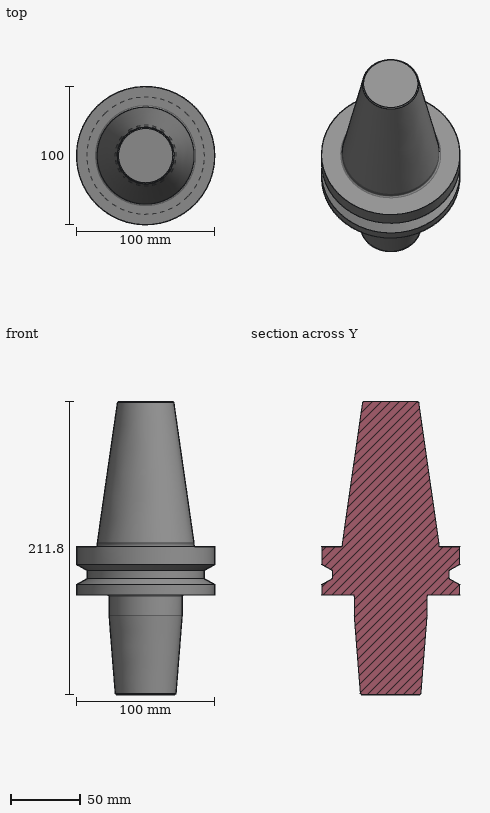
import cadquery as cq
import math

total_length = 211.8
nose_length = 110.0
gauge_gap = 3.0
flange_height = 35.0
flange_top = nose_length - gauge_gap
flange_bottom = flange_top - flange_height

flange_radius = 100.0 / 2
upper_rim_height = 13.0
lower_rim_height = 7.6
groove_radius = 42.4
groove_flank_height = 4.2
lower_rim_top = flange_bottom + lower_rim_height
upper_rim_bottom = flange_top - upper_rim_height

gauge_radius = 69.9 / 2
land_radius = 70.0 / 2
land_bevel_height = 0.6
land_fillet = 1.0
taper_tip_radius = 40.9 / 2
taper_tip_chamfer = 0.8

collar_radius = 53.0 / 2
collar_bottom = 57.5
collar_fillet = 1.0
nose_end_radius = 44.0 / 2
nose_chamfer = 1.0

ARC_MID_RATIO = 1 - math.sqrt(0.5)
collar_arc_mid = collar_fillet * ARC_MID_RATIO
land_arc_mid = land_fillet * ARC_MID_RATIO

profile = (
    cq.Workplane("XZ")
    .lineTo(nose_end_radius - nose_chamfer, 0)
    .lineTo(nose_end_radius, nose_chamfer)
    .lineTo(collar_radius, collar_bottom)
    .lineTo(collar_radius, flange_bottom - collar_fillet)
    .threePointArc(
        (collar_radius + collar_arc_mid, flange_bottom - collar_arc_mid),
        (collar_radius + collar_fillet, flange_bottom),
    )
    .lineTo(flange_radius, flange_bottom)
    .lineTo(flange_radius, lower_rim_top)
    .lineTo(groove_radius, lower_rim_top + groove_flank_height)
    .lineTo(groove_radius, upper_rim_bottom - groove_flank_height)
    .lineTo(flange_radius, upper_rim_bottom)
    .lineTo(flange_radius, flange_top)
    .lineTo(land_radius + land_fillet, flange_top)
    .threePointArc(
        (land_radius + land_arc_mid, flange_top + land_arc_mid),
        (land_radius, flange_top + land_fillet),
    )
    .lineTo(land_radius, nose_length - land_bevel_height)
    .lineTo(gauge_radius, nose_length)
    .lineTo(taper_tip_radius, total_length - taper_tip_chamfer)
    .lineTo(taper_tip_radius - taper_tip_chamfer, total_length)
    .lineTo(0, total_length)
    .close()
)
result = profile.revolve(360, (0, 0, 0), (0, 1, 0))